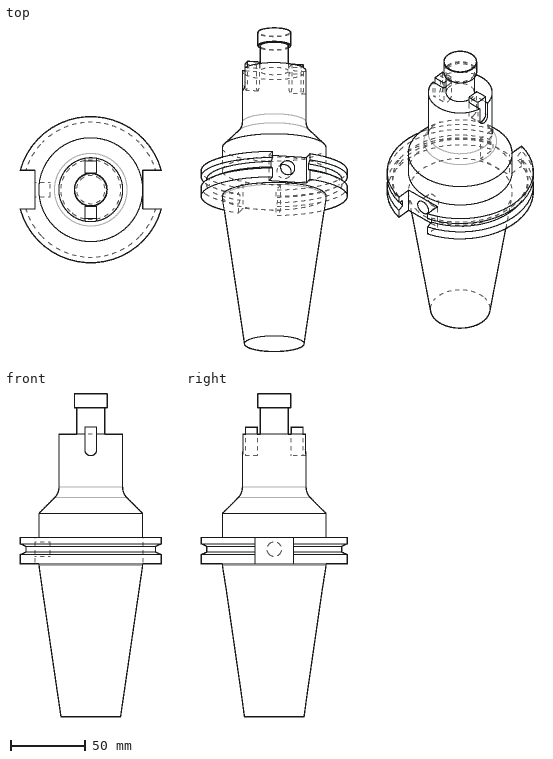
import cadquery as cq
import math


gauge_dia = 69.85
taper_length = 101.6
taper_ratio = 7 / 24
gauge_r = gauge_dia / 2
taper_end_r = gauge_r - taper_length * taper_ratio / 2

flange_r = 98.425 / 2
flange_bottom_z = 1.3
flange_top_z = 19.05
groove_floor_r = 45.5
groove_center_z = 11.1125
groove_floor_width = 3.7
groove_mouth_width = 7.3

drive_slot_width = 25.908
left_slot_depth_x = 37.5
right_slot_depth_x = 35.1
detent_dia = 9.8
detent_depth = 10.0

shoulder_top_z = 35.2
hub_r = 43.0 / 2
hub_top_z = 88.5
hub_fillet_r = 10.0
cone_angle = math.radians(45)
cone_top_z = shoulder_top_z + (gauge_r - hub_r) * math.tan(cone_angle)
fillet_tangent = hub_fillet_r * math.tan(cone_angle / 2)

pilot_r = 19.05 / 2
pilot_length = 17.46
pilot_top_z = hub_top_z + pilot_length
screw_r = 22.2 / 2
overall_length = 217.35
screw_top_z = overall_length - taper_length
screw_height = screw_top_z - pilot_top_z
screw_chamfer = 0.3

key_width = 7.94
key_inner_y = 11.3
key_outer_y = 19.4
key_top_z = hub_top_z + 4.6
key_bottom_z = hub_top_z - 14.5


def holder_blank():
    """Revolved outline of the holder, from the taper up to the pilot."""
    fillet_center_r = hub_r + hub_fillet_r
    fillet_top_z = cone_top_z + fillet_tangent
    mid_angle = cone_angle / 2
    fillet_mid = (
        fillet_center_r - hub_fillet_r * math.cos(mid_angle),
        fillet_top_z - hub_fillet_r * math.sin(mid_angle),
    )
    fillet_end = (
        fillet_center_r - hub_fillet_r * math.cos(cone_angle),
        fillet_top_z - hub_fillet_r * math.sin(cone_angle),
    )
    outline = (
        cq.Workplane("XZ")
        .moveTo(0, -taper_length)
        .lineTo(taper_end_r, -taper_length)
        .lineTo(gauge_r, 0)
        .lineTo(gauge_r, flange_bottom_z)
        .lineTo(flange_r, flange_bottom_z)
        .lineTo(flange_r, groove_center_z - groove_mouth_width / 2)
        .lineTo(groove_floor_r, groove_center_z - groove_floor_width / 2)
        .lineTo(groove_floor_r, groove_center_z + groove_floor_width / 2)
        .lineTo(flange_r, groove_center_z + groove_mouth_width / 2)
        .lineTo(flange_r, flange_top_z)
        .lineTo(gauge_r, flange_top_z)
        .lineTo(gauge_r, shoulder_top_z)
        .lineTo(*fillet_end)
        .threePointArc(fillet_mid, (hub_r, fillet_top_z))
        .lineTo(hub_r, hub_top_z)
        .lineTo(pilot_r, hub_top_z)
        .lineTo(pilot_r, pilot_top_z)
        .lineTo(0, pilot_top_z)
        .close()
    )
    return outline.revolve(360, (0, 0, 0), (0, 1, 0))


def drive_slot(side, floor_x):
    """Block that clears a drive slot; side is -1 for -X and 1 for +X."""
    slot_length = flange_r - floor_x
    slot_height = flange_top_z - flange_bottom_z
    center = (side * (floor_x + slot_length / 2), 0, flange_bottom_z + slot_height / 2)
    return cq.Workplane("XY", origin=center).box(slot_length, drive_slot_width, slot_height)


def detent_hole():
    """Blind round hole in the floor of the -X drive slot."""
    start = (-left_slot_depth_x, 0, groove_center_z)
    return cq.Workplane("YZ", origin=start).circle(detent_dia / 2).extrude(detent_depth)


def key_shape(side, outer_y, top_z):
    """Upright block with a full-round lower end; side is -1 for -Y and 1 for +Y."""
    half_width = key_width / 2
    round_center_z = key_bottom_z + half_width
    block = (
        cq.Workplane("XZ", origin=(0, side * key_inner_y, 0))
        .moveTo(-half_width, top_z)
        .lineTo(-half_width, round_center_z)
        .threePointArc((0, key_bottom_z), (half_width, round_center_z))
        .lineTo(half_width, top_z)
        .close()
    )
    return block.extrude(-side * (outer_y - key_inner_y))


def make_holder():
    """Taper, flange, hub and pilot as one body."""
    holder = holder_blank()
    holder = holder.cut(drive_slot(-1, left_slot_depth_x))
    holder = holder.cut(drive_slot(1, right_slot_depth_x))
    holder = holder.cut(detent_hole())
    for side in (-1, 1):
        holder = holder.cut(key_shape(side, hub_r, hub_top_z))
    return holder


def make_key(side):
    """Drive key standing proud of the hub's end face."""
    return key_shape(side, key_outer_y, key_top_z)


def make_lock_screw():
    """Round screw head with both rims chamfered."""
    head = cq.Workplane("XY", origin=(0, 0, pilot_top_z)).circle(screw_r).extrude(screw_height)
    return head.faces("<Z or >Z").edges().chamfer(screw_chamfer)


holder = make_holder()
lock_screw = make_lock_screw()
keys = [make_key(side) for side in (-1, 1)]

result = cq.Compound.makeCompound([holder.val(), lock_screw.val(), *[key.val() for key in keys]])